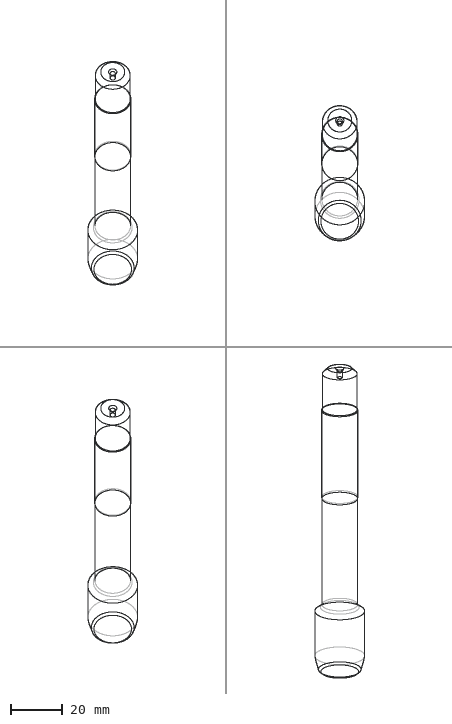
import cadquery as cq
import math

LENGTH = 125.0

HEAD_RADIUS = 19.2 / 2
NOSE_HEIGHT = 6.5
NOSE_TIP_RADIUS = 8.2
NOSE_BULGE = 0.1
TIP_BEVEL_HEIGHT = 0.9
TIP_BEVEL_WIDTH = 1.0
SHOULDER_Z = 25.0
SHOULDER_ANGLE = 35.0
NECK_FILLET = 1.4

STEM_RADIUS = 13.8 / 2
STEM_TOP_Z = 71.4

ROD_RADIUS = 14.0 / 2
ROD_BEVEL_HEIGHT = 0.6
STEP_Z = 107.8
STEP_BEVEL_HEIGHT = 0.4
END_RADIUS = 13.5 / 2
END_CHAMFER = 2.1

HOLE_RADIUS = 2.0 / 2
HOLE_DEPTH = 3.8
COUNTERSINK_RADIUS = 3.1 / 2
COUNTERSINK_ANGLE = 60.0
DRILL_POINT_ANGLE = 120.0


def revolve(profile):
    """Close a half profile drawn as radius and Z, and turn it about Z."""
    return profile.close().revolve(360, (0, 0, 0), (0, 1, 0))


def make_head():
    """Head and lower stem, joined by a conical shoulder and a fillet."""
    slope = math.radians(SHOULDER_ANGLE)
    neck_z = SHOULDER_Z + (HEAD_RADIUS - STEM_RADIUS) * math.tan(slope)
    turn = math.pi / 2 - slope
    tangent = NECK_FILLET * math.tan(turn / 2)
    fillet_start = (STEM_RADIUS + tangent * math.cos(slope), neck_z - tangent * math.sin(slope))
    fillet_end = (STEM_RADIUS, neck_z + tangent)
    fillet_centre = (STEM_RADIUS + NECK_FILLET, neck_z + tangent)
    fillet_middle = (
        fillet_centre[0] - NECK_FILLET * math.cos(turn / 2),
        fillet_centre[1] - NECK_FILLET * math.sin(turn / 2),
    )
    profile = (
        cq.Workplane("XZ")
        .moveTo(0, 0)
        .lineTo(NOSE_TIP_RADIUS - TIP_BEVEL_WIDTH, 0)
        .lineTo(NOSE_TIP_RADIUS, TIP_BEVEL_HEIGHT)
        .sagittaArc((HEAD_RADIUS, NOSE_HEIGHT), -NOSE_BULGE)
        .lineTo(HEAD_RADIUS, SHOULDER_Z)
        .lineTo(*fillet_start)
        .threePointArc(fillet_middle, fillet_end)
        .lineTo(STEM_RADIUS, STEM_TOP_Z)
        .lineTo(0, STEM_TOP_Z)
    )
    return revolve(profile)


def make_centre_hole():
    """Cutter for the drilled hole with its countersink."""
    countersink_depth = (COUNTERSINK_RADIUS - HOLE_RADIUS) / math.tan(math.radians(COUNTERSINK_ANGLE / 2))
    point_depth = HOLE_RADIUS / math.tan(math.radians(DRILL_POINT_ANGLE / 2))
    profile = (
        cq.Workplane("XZ")
        .moveTo(0, LENGTH)
        .lineTo(COUNTERSINK_RADIUS, LENGTH)
        .lineTo(HOLE_RADIUS, LENGTH - countersink_depth)
        .lineTo(HOLE_RADIUS, LENGTH - HOLE_DEPTH)
        .lineTo(0, LENGTH - HOLE_DEPTH - point_depth)
    )
    return revolve(profile)


def make_rod():
    """Upper rod standing on the stem, with a reduced and chamfered end."""
    profile = (
        cq.Workplane("XZ")
        .moveTo(0, STEM_TOP_Z)
        .lineTo(STEM_RADIUS, STEM_TOP_Z)
        .lineTo(ROD_RADIUS, STEM_TOP_Z + ROD_BEVEL_HEIGHT)
        .lineTo(ROD_RADIUS, STEP_Z)
        .lineTo(END_RADIUS, STEP_Z + STEP_BEVEL_HEIGHT)
        .lineTo(END_RADIUS, LENGTH - END_CHAMFER)
        .lineTo(END_RADIUS - END_CHAMFER, LENGTH)
        .lineTo(0, LENGTH)
    )
    return revolve(profile).cut(make_centre_hole())


head = make_head()
rod = make_rod()
result = cq.Compound.makeCompound([head.val(), rod.val()])